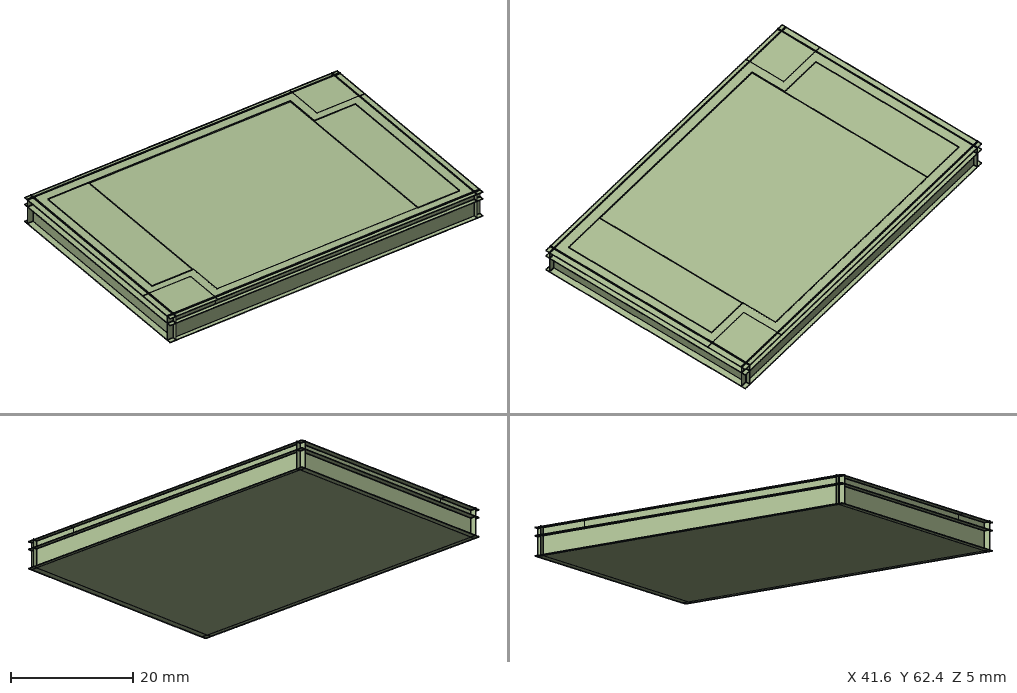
import cadquery as cq

WIDTH = 41.6
LENGTH = 62.4
HEIGHT = 5.0
SPLIT_Z = 3.5

WALL_SETBACK_X = 0.75
WALL_SETBACK_Y = 1.1
SHEET = 0.095
FIN_RISE = 0.1
TOP_Z = HEIGHT - FIN_RISE
CORE_WIDTH = WIDTH - 2 * WALL_SETBACK_X
CORE_LENGTH = LENGTH - 2 * WALL_SETBACK_Y

BLOCK_WIDTH = 7.85
BLOCK_LENGTH = 9.55

OUTER_BORDER = 1.75
BLOCK_BORDER_X = 1.45
BLOCK_BORDER_Y = 1.55
END_DEPTH = 0.1
MIDDLE_DEPTH = 0.25
RECESS_X = CORE_WIDTH / 2 - OUTER_BORDER
RECESS_Y = CORE_LENGTH / 2 - OUTER_BORDER
STEP_X = WIDTH / 2 - BLOCK_WIDTH - BLOCK_BORDER_X
STEP_Y = LENGTH / 2 - BLOCK_LENGTH - BLOCK_BORDER_Y


def box_between(x0, x1, y0, y1, z0, z1):
    """Box between opposite limits on each axis."""
    return cq.Workplane("XY").box(x1 - x0, y1 - y0, z1 - z0, centered=False).translate((x0, y0, z0))


def centred_box(width, length, z0, z1):
    """Box centred on the Z axis."""
    return box_between(-width / 2, width / 2, -length / 2, length / 2, z0, z1)


def corner_fins(z0, z1):
    """Wall sheets that run past the core to the outer edges of the part."""
    across = centred_box(WIDTH, CORE_LENGTH, z0, z1).cut(
        centred_box(WIDTH, CORE_LENGTH - 2 * SHEET, z0, z1)
    )
    along = centred_box(CORE_WIDTH, LENGTH, z0, z1).cut(
        centred_box(CORE_WIDTH - 2 * SHEET, LENGTH, z0, z1)
    )
    return across.union(along)


def rimmed_block(z0, z1, fin_top, rim_bottoms):
    """Solid core with corner fins and a thin full-size rim at each given height."""
    block = centred_box(CORE_WIDTH, CORE_LENGTH, z0, z1).union(corner_fins(z0, fin_top))
    for rim_z in rim_bottoms:
        block = block.union(centred_box(WIDTH, LENGTH, rim_z, rim_z + SHEET))
    return block


def corner_spaces():
    """Spaces above the split that the two corner blocks fill."""
    block_x = WIDTH / 2 - BLOCK_WIDTH
    block_y = LENGTH / 2 - BLOCK_LENGTH
    back_left = box_between(-WIDTH / 2, -block_x, block_y, LENGTH / 2, SPLIT_Z, HEIGHT)
    front_right = back_left.rotate((0, 0, 0), (0, 0, 1), 180)
    return back_left.union(front_right)


def cover_recess():
    """Middle pocket with a shallower pocket at each end, clear of the corner blocks."""
    middle = centred_box(2 * RECESS_X, 2 * STEP_Y, TOP_Z - MIDDLE_DEPTH, HEIGHT)
    back = box_between(-STEP_X, RECESS_X, STEP_Y, RECESS_Y, TOP_Z - END_DEPTH, HEIGHT)
    front = back.rotate((0, 0, 0), (0, 0, 1), 180)
    return middle.union(back).union(front)


def upper_block():
    """Full layer above the split, before it is shared between base and cover."""
    return rimmed_block(SPLIT_Z, TOP_Z, HEIGHT, [TOP_Z - SHEET])


def make_base():
    """Lower block with the two corner blocks rising from it."""
    lower = rimmed_block(0, SPLIT_Z, SPLIT_Z, [0, SPLIT_Z - SHEET])
    return lower.union(upper_block().intersect(corner_spaces()))


def make_cover():
    """Recessed cover that fits between the corner blocks."""
    return upper_block().cut(corner_spaces()).cut(cover_recess())


base = make_base()
cover = make_cover()

result = cq.Compound.makeCompound([base.solids().val(), cover.solids().val()])